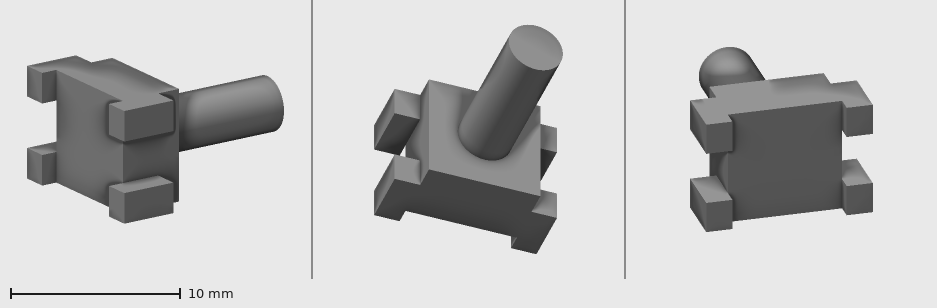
import cadquery as cq

body_size = 7.0
body_depth = 4.0

overall_width = 10.2
foot_width = (overall_width - body_size) / 2
foot_height = 1.9
foot_depth = 3.5
foot_standoff = 1.0

shaft_diameter = 3.4
shaft_length = 8.7

body_back = body_depth


def make_body():
    return cq.Workplane("XY").box(body_size, body_depth, body_size, centered=(True, False, True))


def make_foot(side_x, side_z):
    center_x = side_x * (body_size + foot_width) / 2
    center_z = side_z * (body_size - foot_height) / 2
    foot = cq.Workplane("XY").box(foot_width, foot_depth, foot_height, centered=(True, False, True))
    return foot.translate((center_x, -foot_standoff, center_z))


def make_shaft():
    base = cq.Workplane("XZ", origin=(0, body_back, 0))
    return base.circle(shaft_diameter / 2).extrude(-shaft_length)


result = make_body().union(make_shaft())
for side_x in (-1, 1):
    for side_z in (-1, 1):
        result = result.union(make_foot(side_x, side_z))